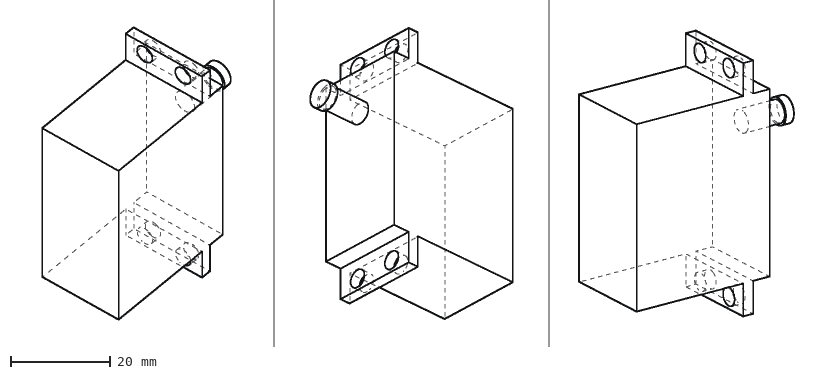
import cadquery as cq

width = 20.0
body_depth = 33.0
body_height = 40.7

flange_height = 55.0
flange_thickness = 2.55
flange_setback = 4.05
flange_front = body_depth - flange_setback - flange_thickness

hole_diameter = 4.0
hole_spacing = 10.0
hole_end_distance = 2.7
hole_row_spacing = flange_height - 2 * hole_end_distance

shaft_diameter = 5.0
head_diameter = 6.0
head_length = 2.0
shaft_projection = 11.0
shaft_height = 10.2


def block(depth, height, front):
    """Full-width block starting at Y = front, centred on X and Z."""
    return cq.Workplane("XY").box(width, depth, height, centered=(True, False, True)).translate((0, front, 0))


def shaft_cylinder(diameter, length, start):
    """Cylinder on the shaft axis running toward +Y from Y = start."""
    axis_start = cq.Vector(0, start, shaft_height)
    return cq.Workplane(cq.Solid.makeCylinder(diameter / 2, length, axis_start, cq.Vector(0, 1, 0)))


def mounting_holes():
    """Four cylinders passing through the thickness of the flange."""
    return (
        cq.Workplane("XZ", origin=(0, flange_front, 0))
        .rarray(hole_spacing, hole_row_spacing, 2, 2)
        .circle(hole_diameter / 2)
        .extrude(-flange_thickness)
    )


body = block(body_depth, body_height, 0)
flange = block(flange_thickness, flange_height, flange_front).cut(mounting_holes())
shaft = shaft_cylinder(shaft_diameter, shaft_projection, body_depth)
head = shaft_cylinder(head_diameter, head_length, body_depth + shaft_projection - head_length)

result = body.union(flange).union(shaft).union(head)